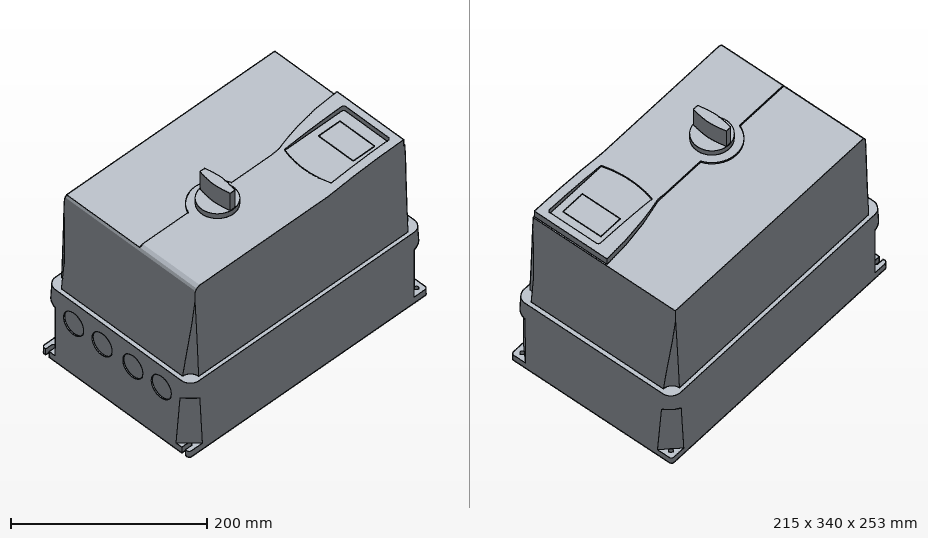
import cadquery as cq
import math

box_width = 215.0
box_length = 340.0
box_height = 98.3
box_top_width = 209.5
box_top_length = 332.2
flange_height = 8.5
flange_corner_radius = 3.5
box_corner_radius = 13.0

relief_bottom_leg = 19.0
relief_top_leg = 14.3
relief_top_z = 73.5
lip_height = 4.0
lip_leg = 7.5
cutter_overhang = 3.5

mount_inset = 8.0
mount_diameter = 5.0

knockout_radius = 14.5
knockout_depth = 1.7
knockout_z = 69.7
knockout_offsets = (22.5, 64.0)

cover_base_width = 200.0
cover_base_length = 321.5
cover_top_width = 189.7
cover_top_length = 300.0
deck_z = 221.5
low_deck_step = 2.0
cover_edge_radius = 8.5
flare_mid_z = 149.5
flare_mid_inset = 7.0
scallop_radius = 11.5
deck_split_x = 11.5

knob_x = 22.5
knob_y = -46.5
knob_pad_radius = 32.5
knob_radius = 22.8
raised_z = 228.0
overall_height = 253.0
handle_half_length = 22.0
handle_half_thickness = 6.5
handle_quarter_half_thickness = 5.5
handle_tip_half_thickness = 3.5

panel_back_y = 148.2
panel_front_y = 40.5
panel_back_x = -2.5
panel_side_mid = (1.0, 103.5)
panel_side_end_y = 51.5

keypad_left = 16.3
keypad_right = 84.3
keypad_back_y = 139.5
keypad_side_end_y = 55.0
keypad_front_y = 50.0
keypad_corner_radius = 2.7
display_left = 25.0
display_right = 75.8
display_back_y = 125.5
display_front_y = 95.0
display_depth = 0.7

CORNERS = [(sx, sy) for sx in (-1, 1) for sy in (-1, 1)]


def slab(z_low, z_high):
    """Oversized horizontal slice used to keep a range of heights."""
    side = 2 * box_length
    return cq.Workplane("XY").workplane(offset=z_low).rect(side, side).extrude(z_high - z_low)


def trapezoid_along_y(bottom_width, top_width, z_low, z_high):
    """Prism along Y whose sides lean in with height."""
    half_bottom = bottom_width / 2
    half_top = top_width / 2
    points = [(-half_bottom, z_low), (half_bottom, z_low), (half_top, z_high), (-half_top, z_high)]
    return cq.Workplane("XZ").polyline(points).close().extrude(box_length, both=True)


def relief_wedge(corner, z_low, z_high, leg_low, leg_high):
    """Lofted triangle that shaves a flat off one vertical box corner."""
    sx, sy = corner

    def section(z, leg):
        draft = z / box_height
        x_edge = (box_width + (box_top_width - box_width) * draft) / 2
        y_draft = (z - flange_height) / (box_height - flange_height)
        y_edge = (box_length + (box_top_length - box_length) * y_draft) / 2
        x_out = x_edge + cutter_overhang
        y_out = y_edge + cutter_overhang
        reach = leg + 2 * cutter_overhang
        points = [(x_out, y_out), (x_out - reach, y_out), (x_out, y_out - reach)]
        return cq.Wire.makePolygon([cq.Vector(sx * x, sy * y, z) for x, y in points], close=True)

    return cq.Workplane(cq.Solid.makeLoft([section(z_low, leg_low), section(z_high, leg_high)], True))


def make_box():
    half = box_length / 2
    half_top = box_top_length / 2
    side_profile = [(-half, 0), (half, 0), (half, flange_height), (half_top, box_height),
                    (-half_top, box_height), (-half, flange_height)]
    lengthwise = cq.Workplane("YZ").polyline(side_profile).close().extrude(box_width, both=True)
    tub = trapezoid_along_y(box_width, box_top_width, 0, box_height).intersect(lengthwise)

    flange = tub.intersect(slab(0, flange_height)).edges("not(|X or |Y)").fillet(flange_corner_radius)
    middle = tub.intersect(slab(flange_height, relief_top_z))
    rim = tub.intersect(slab(relief_top_z, box_height)).edges("not(|X or |Y)").fillet(box_corner_radius)

    lip_z = relief_top_z + lip_height
    for corner in CORNERS:
        middle = middle.cut(relief_wedge(corner, flange_height, relief_top_z,
                                         relief_bottom_leg, relief_top_leg))
        rim = rim.cut(relief_wedge(corner, relief_top_z, lip_z, relief_top_leg, lip_leg))
    return flange.union(middle).union(rim)


def cut_mounts(body):
    x = box_width / 2 - mount_inset
    y = box_length / 2 - mount_inset
    holes = (cq.Workplane("XY").pushPoints([(-x, y), (x, y), (-x, -y), (x, -y)])
             .circle(mount_diameter / 2).extrude(flange_height))
    slots = (cq.Workplane("XY").pushPoints([(-x, -box_length / 2), (x, -box_length / 2)])
             .rect(mount_diameter, 2 * mount_inset).extrude(flange_height))
    return body.cut(holes).cut(slots)


def cut_knockouts(body):
    draft = (box_length - box_top_length) / 2 / (box_height - flange_height)
    wall_y = -box_length / 2 + draft * (knockout_z - flange_height)
    tilt = math.degrees(math.atan(draft))
    for offset in knockout_offsets:
        for x in (-offset, offset):
            disc = (cq.Workplane("XZ", origin=(x, wall_y, knockout_z))
                    .circle(knockout_radius).extrude(knockout_depth, both=True))
            disc = disc.rotate((x, wall_y, knockout_z), (x + 3.5, wall_y, knockout_z), -tilt)
            body = body.cut(disc)
    return body


def make_cover():
    half_base = cover_base_length / 2
    half_top = cover_top_length / 2
    flare_mid_y = half_base - flare_mid_inset
    edge_z = deck_z - cover_edge_radius
    edge_y = -half_top + cover_edge_radius
    edge_shift = cover_edge_radius * math.sin(math.radians(45))
    edge_mid = (edge_y - edge_shift, edge_z + edge_shift)
    profile = (cq.Workplane("YZ").moveTo(-half_base, box_height).lineTo(half_base, box_height)
               .threePointArc((flare_mid_y, flare_mid_z), (half_top, edge_z))
               .lineTo(half_top, deck_z).lineTo(edge_y, deck_z)
               .threePointArc(edge_mid, (-half_top, edge_z))
               .threePointArc((-flare_mid_y, flare_mid_z), (-half_base, box_height)).close())
    cover = profile.extrude(box_width, both=True)
    cover = cover.intersect(trapezoid_along_y(cover_base_width, cover_top_width, box_height, deck_z))

    scallops = (cq.Workplane("XY").workplane(offset=box_height)
                .pushPoints([(sx * cover_base_width / 2, sy * half_base) for sx, sy in CORNERS])
                .circle(scallop_radius).extrude(deck_z - low_deck_step - box_height))
    cover = cover.cut(scallops)

    low_z = deck_z - low_deck_step
    left = cq.Workplane("XY").box(box_width, 2 * box_length, low_deck_step, centered=(False, True, False))
    left = left.translate((deck_split_x - box_width, 0, low_z))
    pad = (cq.Workplane("XY", origin=(knob_x, knob_y, low_z))
           .circle(knob_pad_radius).extrude(low_deck_step))
    back_strip = cq.Workplane("XY").box(box_width, box_length, low_deck_step, centered=(True, False, False))
    back_strip = back_strip.translate((0, panel_back_y, low_z))
    return cover.cut(left.cut(pad)).cut(back_strip)


def make_panel():
    low_z = deck_z - low_deck_step
    right = cover_top_width / 2
    outline = (cq.Workplane("XY").workplane(offset=low_z)
               .moveTo(right, panel_front_y).lineTo(right, panel_back_y)
               .lineTo(panel_back_x, panel_back_y)
               .threePointArc(panel_side_mid, (deck_split_x, panel_side_end_y))
               .lineTo(deck_split_x, panel_front_y).close().extrude(raised_z - low_z))

    run = panel_back_y - panel_front_y
    drop = raised_z - deck_z
    ramp_radius = (run**2 + drop**2) / (2 * drop)
    half_angle = math.asin(run / ramp_radius) / 2
    ramp_mid = (panel_back_y - ramp_radius * math.sin(half_angle),
                raised_z - ramp_radius * (1 - math.cos(half_angle)))
    ramp = (cq.Workplane("YZ").moveTo(panel_front_y, low_z).lineTo(panel_back_y, low_z)
            .lineTo(panel_back_y, raised_z)
            .threePointArc(ramp_mid, (panel_front_y, deck_z)).close()
            .extrude(box_width, both=True))
    return outline.intersect(ramp)


def cut_keypad(body):
    mid_x = (keypad_left + keypad_right) / 2
    keypad = (cq.Workplane("XY").workplane(offset=deck_z)
              .moveTo(keypad_left, keypad_side_end_y).lineTo(keypad_left, keypad_back_y)
              .lineTo(keypad_right, keypad_back_y).lineTo(keypad_right, keypad_side_end_y)
              .threePointArc((mid_x, keypad_front_y), (keypad_left, keypad_side_end_y)).close()
              .extrude(raised_z - deck_z)
              .edges("|Z and >Y").fillet(keypad_corner_radius))
    display = (cq.Workplane("XY").workplane(offset=deck_z - display_depth)
               .center((display_left + display_right) / 2, (display_back_y + display_front_y) / 2)
               .rect(display_right - display_left, display_back_y - display_front_y)
               .extrude(display_depth))
    return body.cut(keypad).cut(display)


def make_knob():
    disc = (cq.Workplane("XY", origin=(knob_x, knob_y, deck_z))
            .circle(knob_radius).extrude(raised_z - deck_z))
    quarter = handle_half_length / 2
    handle_half = (cq.Workplane("XY", origin=(knob_x, knob_y, raised_z))
                   .moveTo(-handle_half_length, 0)
                   .lineTo(-handle_half_length, handle_tip_half_thickness)
                   .threePointArc((-quarter, handle_quarter_half_thickness), (0, handle_half_thickness))
                   .threePointArc((quarter, handle_quarter_half_thickness),
                                  (handle_half_length, handle_tip_half_thickness))
                   .lineTo(handle_half_length, 0).close().extrude(overall_height - raised_z))
    handle = handle_half.union(handle_half.mirror("XZ", (knob_x, knob_y, raised_z)))
    return disc.union(handle)


base = cut_knockouts(cut_mounts(make_box()))
housing = base.union(make_cover()).union(make_panel())
result = cut_keypad(housing).union(make_knob())